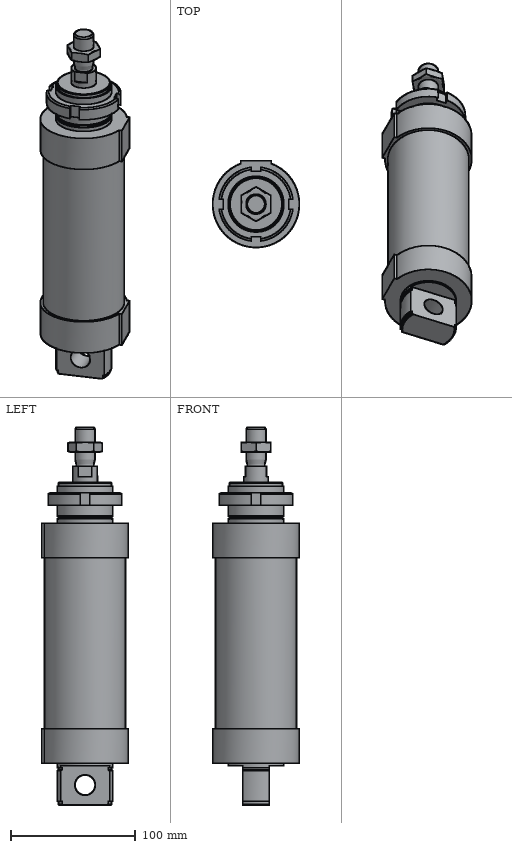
import cadquery as cq
import math


total_height = 304.2
cap_length = 28.0
rear_cap_bottom = 33.5
front_cap_top = 227.0
nose_top = 259.8

cap_diameter = 70.0
tube_diameter = 65.5
pad_width = 25.0

stub_diameter = 45.0
relief_diameter = 43.0
neck_length = 3.0
neck_chamfer = 0.5
collar_height = 3.3
relief_height = 1.5
relief_taper_height = (stub_diameter - relief_diameter) / 2

eye_thickness = 21.5
eye_shoulder_height = 1.8
eye_hole_diameter = 16.0
eye_hole_height = 16.0

rod_diameter = 20.0
rod_shoulder_top = 273.0
rod_flat_width = 17.0
rod_flat_bottom = 264.5
thread_diameter = 16.0
thread_tip_diameter = 14.0
thread_tip_height = 1.5
thread_relief_diameter = 14.3
thread_relief_height = 1.5
thread_taper_height = 3.5

rod_nut_sides = 6
rod_nut_flats = 24.0
rod_nut_bottom = 284.0
rod_nut_height = 8.0
rod_nut_face_diameter = 23.5
rod_nut_corner_drop = 0.5

lock_nut_diameter = 60.0
lock_nut_bottom = 241.2
lock_nut_height = 10.0
lock_nut_chamfer = 1.8
lock_nut_chamfer_height = 1.0
slot_width = 8.0
slot_depth = 3.5
slot_count = 4


def cylinder(diameter, bottom, top):
    return cq.Workplane("XY").workplane(offset=bottom).circle(diameter / 2).extrude(top - bottom)


def turned(profile):
    """Revolve (radius, height) points, which start and end on the axis, about Z."""
    return cq.Workplane("XZ").polyline(profile).close().revolve(360, (0, 0), (0, 1))


def make_cap(bottom):
    """End cap with a flat pad on its +Y side, level with the top of the round."""
    pad = cq.Workplane("XY").workplane(offset=bottom)
    pad = pad.rect(pad_width, cap_diameter / 2, centered=(True, False)).extrude(cap_length)
    return cylinder(cap_diameter, bottom, bottom + cap_length).union(pad)


def make_stub(length):
    """Threaded stub rising from Z = 0: collar, relief groove, thread and chamfered neck."""
    outer = stub_diameter / 2
    inner = relief_diameter / 2
    thread_end = length - neck_length
    taper_start = collar_height + relief_height
    return turned([
        (0, 0),
        (outer, 0),
        (outer, collar_height),
        (inner, collar_height),
        (inner, taper_start),
        (outer, taper_start + relief_taper_height),
        (outer, thread_end),
        (inner, thread_end),
        (inner, length - neck_chamfer),
        (inner - neck_chamfer, length),
        (0, length),
    ])


def make_mounting_eye():
    """Rear stub, milled flat on both sides below its shoulder and drilled along X."""
    stub = make_stub(rear_cap_bottom).rotate((0, 0, 0), (1, 0, 0), 180)
    stub = stub.translate((0, 0, rear_cap_bottom))
    tongue_top = rear_cap_bottom - eye_shoulder_height
    tongue = cq.Workplane("XY").rect(eye_thickness, stub_diameter).extrude(tongue_top)
    shoulder = cylinder(stub_diameter, tongue_top, rear_cap_bottom)
    hole = cq.Workplane("YZ").center(0, eye_hole_height).circle(eye_hole_diameter / 2)
    return stub.intersect(tongue.union(shoulder)).cut(hole.extrude(eye_thickness, both=True))


def make_housing():
    front_cap_bottom = front_cap_top - cap_length
    nose = make_stub(nose_top - front_cap_top).translate((0, 0, front_cap_top))
    return (
        cylinder(tube_diameter, rear_cap_bottom + cap_length, front_cap_bottom)
        .union(make_cap(rear_cap_bottom))
        .union(make_cap(front_cap_bottom))
        .union(nose)
        .union(make_mounting_eye())
    )


def make_rod():
    """Rod standing on the nose, with two wrench flats facing X and a threaded end."""
    relief_top = rod_shoulder_top + thread_relief_height
    rod = turned([
        (0, nose_top),
        (rod_diameter / 2, nose_top),
        (rod_diameter / 2, rod_shoulder_top),
        (thread_relief_diameter / 2, rod_shoulder_top),
        (thread_relief_diameter / 2, relief_top),
        (thread_diameter / 2, relief_top + thread_taper_height),
        (thread_diameter / 2, total_height - thread_tip_height),
        (thread_tip_diameter / 2, total_height),
        (0, total_height),
    ])
    flat_height = rod_shoulder_top - rod_flat_bottom
    flats = cylinder(rod_diameter, rod_flat_bottom, rod_shoulder_top)
    flats = flats.cut(
        cq.Workplane("XY")
        .workplane(offset=rod_flat_bottom)
        .rect(rod_flat_width, rod_diameter)
        .extrude(flat_height)
    )
    return rod.cut(flats)


def make_rod_nut():
    """Hexagon nut on the rod thread, two flats facing X, corners bevelled at both faces."""
    across_corners = rod_nut_flats / math.cos(math.pi / rod_nut_sides)
    blank = cq.Workplane("XY").workplane(offset=rod_nut_bottom)
    blank = blank.transformed(rotate=(0, 0, 90)).polygon(rod_nut_sides, across_corners)
    top = rod_nut_bottom + rod_nut_height
    rounding = turned([
        (0, rod_nut_bottom),
        (rod_nut_face_diameter / 2, rod_nut_bottom),
        (across_corners / 2, rod_nut_bottom + rod_nut_corner_drop),
        (across_corners / 2, top - rod_nut_corner_drop),
        (rod_nut_face_diameter / 2, top),
        (0, top),
    ])
    return blank.extrude(rod_nut_height).intersect(rounding).cut(cylinder(thread_diameter, rod_nut_bottom, top))


def make_lock_nut():
    """Round nut on the nose thread, with spanner slots around its rim."""
    top = lock_nut_bottom + lock_nut_height
    radius = lock_nut_diameter / 2
    nut = turned([
        (0, lock_nut_bottom),
        (radius, lock_nut_bottom),
        (radius, top - lock_nut_chamfer_height),
        (radius - lock_nut_chamfer, top),
        (0, top),
    ])
    nut = nut.cut(cylinder(stub_diameter, lock_nut_bottom, top))
    slots = (
        cq.Workplane("XY")
        .workplane(offset=lock_nut_bottom)
        .polarArray(radius, 0, 360, slot_count)
        .rect(2 * slot_depth, slot_width)
        .extrude(lock_nut_height)
    )
    return nut.cut(slots)


housing = make_housing()
rod = make_rod()
rod_nut = make_rod_nut()
lock_nut = make_lock_nut()

result = cq.Compound.makeCompound([housing.val(), rod.val(), rod_nut.val(), lock_nut.val()])